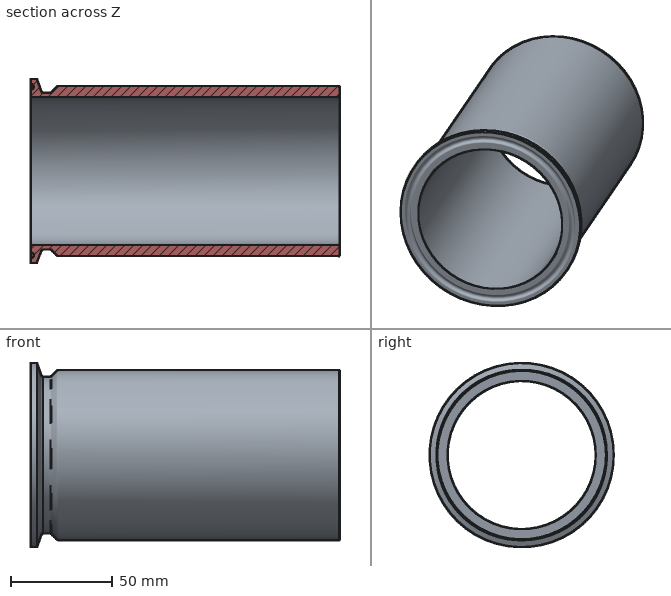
import cadquery as cq
import math

length = 152.4
flange_radius = 90.91 / 2

bore_radius = 72.9 / 2
tube_radius = 84.07 / 2
tube_end_chamfer = 0.5

rim_width = 3.1
flange_taper_angle = 20.0
neck_radius = 77.47 / 2
neck_fillet = 0.8
shoulder_angle = 45.0
shoulder_end = 13.3
shoulder_fillet = 1.2

groove_center_radius = 41.6
groove_mouth_width = 3.7
groove_edge_round = 0.6
groove_wall_angle = 60.0
groove_bottom_round = 1.15


def ring_at(x, radius):
    """Selector for the circular edge of the given radius lying in the plane at x."""
    margin = 0.01
    reach = radius + margin
    return cq.selectors.BoxSelector(
        (x - margin, -reach, -reach), (x + margin, reach, reach), boundingbox=True
    )


def make_body():
    """Revolved flange, neck, shoulder and tube with the bore along X."""
    taper_length = (flange_radius - neck_radius) * math.tan(math.radians(flange_taper_angle))
    taper_end = rim_width + taper_length
    shoulder_length = (tube_radius - neck_radius) / math.tan(math.radians(shoulder_angle))
    shoulder_start = shoulder_end - shoulder_length

    outline = (
        cq.Workplane("XY")
        .moveTo(0, 0)
        .lineTo(0, flange_radius)
        .lineTo(rim_width, flange_radius)
        .lineTo(taper_end, neck_radius)
        .lineTo(shoulder_start, neck_radius)
        .lineTo(shoulder_end, tube_radius)
        .lineTo(length - tube_end_chamfer, tube_radius)
        .lineTo(length, tube_radius - tube_end_chamfer)
        .lineTo(length, 0)
        .close()
    )
    body = outline.revolve(360, (0, 0, 0), (1, 0, 0))

    body = body.edges(ring_at(taper_end, neck_radius)).fillet(neck_fillet)
    body = body.edges(ring_at(shoulder_start, neck_radius)).fillet(neck_fillet)
    body = body.edges(ring_at(shoulder_end, tube_radius)).fillet(shoulder_fillet)

    bore = cq.Workplane("YZ").circle(bore_radius).extrude(length)
    return body.cut(bore)


def make_groove():
    """Ring removed from the flange face for the gasket bead: round bottom, straight walls, round edges."""
    wall = math.radians(groove_wall_angle)
    half_wall = wall / 2
    mouth_offset = groove_mouth_width / 2

    edge_mid_offset = mouth_offset - groove_edge_round * math.sin(half_wall)
    edge_mid_depth = groove_edge_round * (1 - math.cos(half_wall))
    wall_top_offset = mouth_offset - groove_edge_round * math.sin(wall)
    wall_top_depth = groove_edge_round * (1 - math.cos(wall))
    wall_foot_offset = groove_bottom_round * math.sin(wall)
    wall_foot_depth = wall_top_depth + (wall_top_offset - wall_foot_offset) * math.tan(wall)
    bottom_depth = wall_foot_depth + groove_bottom_round * (1 - math.cos(wall))

    def inner(depth, offset):
        return (depth, groove_center_radius - offset)

    def outer(depth, offset):
        return (depth, groove_center_radius + offset)

    profile = (
        cq.Workplane("XY")
        .moveTo(*inner(0, mouth_offset))
        .threePointArc(inner(edge_mid_depth, edge_mid_offset), inner(wall_top_depth, wall_top_offset))
        .lineTo(*inner(wall_foot_depth, wall_foot_offset))
        .threePointArc((bottom_depth, groove_center_radius), outer(wall_foot_depth, wall_foot_offset))
        .lineTo(*outer(wall_top_depth, wall_top_offset))
        .threePointArc(outer(edge_mid_depth, edge_mid_offset), outer(0, mouth_offset))
        .close()
    )
    return profile.revolve(360, (0, 0, 0), (1, 0, 0))


result = make_body().cut(make_groove())